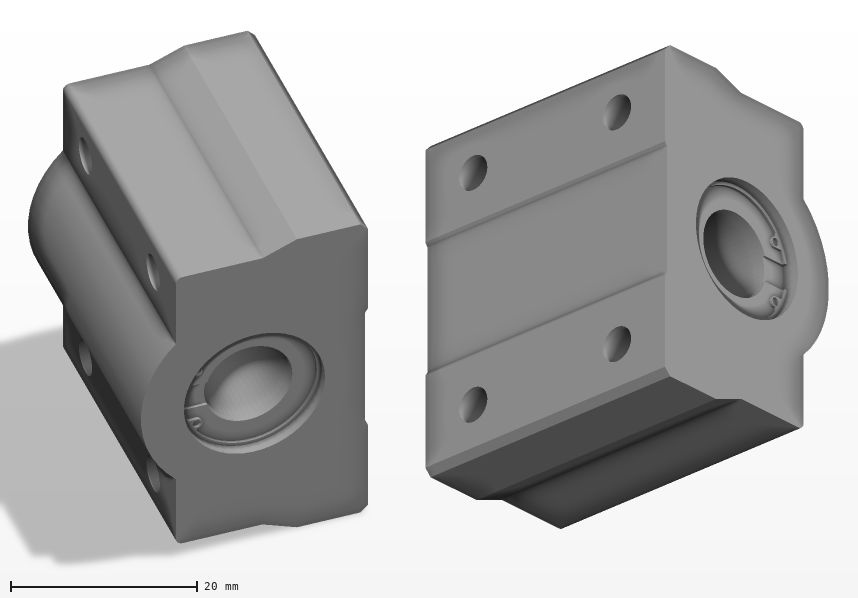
import cadquery as cq
import math

length = 35.0
barrel_radius = 13.0
back_y = 13.0
flange_face_y = -9.0
base_half_height = 20
upper_half_height = 18.5
taper_back_y = 4.9
taper_front_y = 0.9
back_corner_chamfer = 0.85
front_corner_radius = 0.8

relief_depth = 0.3
relief_mouth_half_height = 8.1
relief_floor_half_height = 7.6

mount_hole_diameter = 4.1
mount_spacing_x = 21.0
mount_spacing_z = 28

housing_bore_diameter = 16.15
shaft_diameter = 10
ring_inner_diameter = 15.35
ring_recess = 1.4
ring_thickness = 0.35
slot_width = 3.1
slot_depth = 0.3
ear_hole_diameter = 0.95
ear_radius = 0.65
ear_y = -6.1
ear_z = 3.6
ear_outer_y = -7.35


def x_cylinder(diameter, start_x, depth, y=0, z=0):
    """Cylinder running in +X from start_x."""
    return (
        cq.Workplane("YZ", origin=(start_x, 0, 0))
        .center(y, z)
        .circle(diameter / 2)
        .extrude(depth)
    )


def make_housing():
    barrel_edge_z = math.sqrt(barrel_radius**2 - flange_face_y**2)
    chamfer_start_z = base_half_height - back_corner_chamfer
    relief_floor_y = back_y - relief_depth
    body = (
        cq.Workplane("YZ", origin=(-length / 2, 0, 0))
        .moveTo(flange_face_y, barrel_edge_z)
        .lineTo(flange_face_y, upper_half_height)
        .lineTo(taper_front_y, upper_half_height)
        .lineTo(taper_back_y, base_half_height)
        .lineTo(back_y - back_corner_chamfer, base_half_height)
        .lineTo(back_y, chamfer_start_z)
        .lineTo(back_y, relief_mouth_half_height)
        .lineTo(relief_floor_y, relief_floor_half_height)
        .lineTo(relief_floor_y, -relief_floor_half_height)
        .lineTo(back_y, -relief_mouth_half_height)
        .lineTo(back_y, -chamfer_start_z)
        .lineTo(back_y - back_corner_chamfer, -base_half_height)
        .lineTo(taper_back_y, -base_half_height)
        .lineTo(taper_front_y, -upper_half_height)
        .lineTo(flange_face_y, -upper_half_height)
        .lineTo(flange_face_y, -barrel_edge_z)
        .threePointArc((-barrel_radius, 0), (flange_face_y, barrel_edge_z))
        .close()
        .extrude(length)
    )
    for z in (upper_half_height, -upper_half_height):
        front_corner = cq.selectors.NearestToPointSelector((0, flange_face_y, z))
        body = body.edges("|X").edges(front_corner).fillet(front_corner_radius)
    return body


def make_mount_holes():
    return (
        cq.Workplane("XZ", origin=(0, back_y, 0))
        .rarray(mount_spacing_x, mount_spacing_z, 2, 2)
        .circle(mount_hole_diameter / 2)
        .extrude(back_y - flange_face_y)
    )


def make_ear(start_x, side):
    """Ring ear on the upper (side=1) or lower (side=-1) end of the ring."""
    block = (
        cq.Workplane("YZ", origin=(start_x, 0, 0))
        .moveTo(ear_y, side * (ear_z - ear_radius))
        .lineTo(ear_outer_y, side * (ear_z - ear_radius))
        .lineTo(ear_y, side * housing_bore_diameter / 2)
        .close()
        .extrude(ring_thickness)
    )
    block = block.union(x_cylinder(2 * ear_radius, start_x, ring_thickness, ear_y, side * ear_z))
    hole = x_cylinder(ear_hole_diameter, start_x, ring_thickness, ear_y, side * ear_z)
    return block.cut(hole)


def make_end_pocket():
    """Material removed at the -X end, leaving the ring, its ears and the bearing face."""
    end_x = -length / 2
    ring_x = end_x + ring_recess
    entry = x_cylinder(housing_bore_diameter, end_x, ring_recess)
    inside_ring = x_cylinder(ring_inner_diameter, ring_x, ring_thickness)
    for side in (1, -1):
        inside_ring = inside_ring.cut(make_ear(ring_x, side))
    slot_length = ring_thickness + slot_depth
    slot = (
        cq.Workplane("XY")
        .box(slot_length, housing_bore_diameter / 2, slot_width, centered=(False, False, True))
        .translate((ring_x, -housing_bore_diameter / 2, 0))
        .intersect(x_cylinder(housing_bore_diameter, ring_x, slot_length))
    )
    return entry.union(inside_ring).union(slot)


end_pocket = make_end_pocket()
result = (
    make_housing()
    .cut(make_mount_holes())
    .cut(x_cylinder(shaft_diameter, -length / 2, length))
    .cut(end_pocket)
    .cut(end_pocket.mirror("YZ"))
)